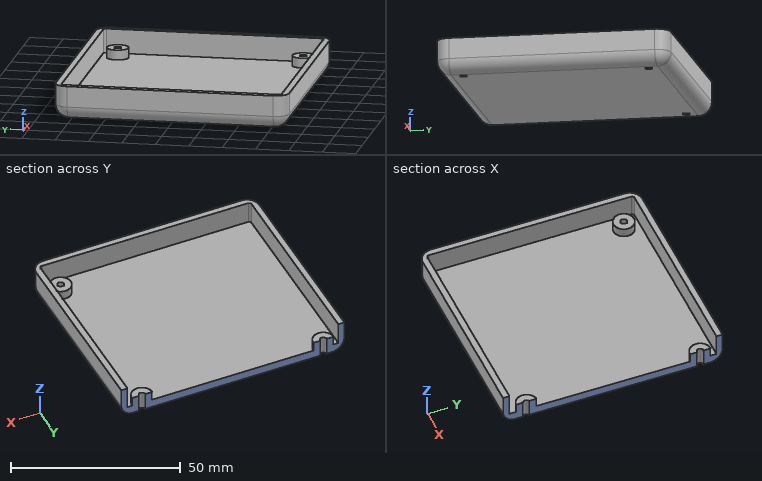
import cadquery as cq

length = 72.6
width = 70.0
height = 10.25
corner_radius = 4.15
bottom_radius = 4.1

wall = 2.0
floor = 3.0
cavity_corner_radius = 0.7

boss_diameter = 6.5
boss_height = 3.0
hole_diameter = 2.0
boss_centers = [(-29.5, 27.9), (29.5, 27.9), (29.9, -27.6)]


def tray():
    outside = (
        cq.Workplane("XY")
        .rect(length, width)
        .extrude(height)
        .edges("|Z")
        .fillet(corner_radius)
        .faces("<Z")
        .edges()
        .fillet(bottom_radius)
    )
    cavity = (
        cq.Workplane("XY", origin=(0, 0, floor))
        .rect(length - 2 * wall, width - 2 * wall)
        .extrude(height - floor)
        .edges("|Z")
        .fillet(cavity_corner_radius)
    )
    return outside.cut(cavity)


def cylinders_at_bosses(diameter, bottom, top):
    return (
        cq.Workplane("XY", origin=(0, 0, bottom))
        .pushPoints(boss_centers)
        .circle(diameter / 2)
        .extrude(top - bottom)
    )


boss_top = floor + boss_height
bosses = cylinders_at_bosses(boss_diameter, floor, boss_top)
holes = cylinders_at_bosses(hole_diameter, 0, boss_top)

result = tray().union(bosses).cut(holes)